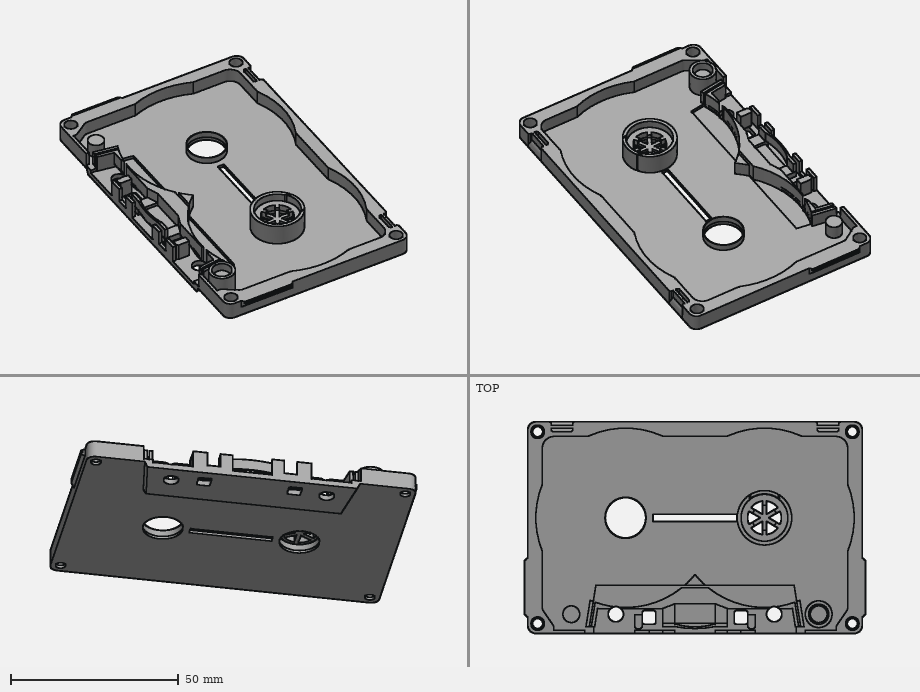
import cadquery as cq
import math


overall_height = 9.5
plate_bottom = 1.8
floor_top = 2.8
block_top = 3.8
rim_top = 4.9
shell_top = 7.3

half_width = 50.0
depth = 63.31
corner_radius = 2.5
screw_x = 47.0
screw_y = (3.0, depth - 3.0)
screw_head_diameter = 4.0
screw_hole_diameter = 3.0

wing_projection = 1.0
wing_y_center = 13.75
wing_base_length = 17.9
wing_base_z = 4.9
wing_bevel_angle = 45
wing_groove_depth = 0.4
wing_groove_z = (6.6, 7.0)

reel_x = 20.75
reel_y = 34.6
reel_clearance_radius = 26.8
cavity_half_width = 45.6
cavity_back = 58.9
cavity_corner_radius = 3.5
front_wall = 1.05
boss_inner_x = 42.15
boss_side_y = 7.2
boss_front_y = 2.2
boss_blend_radius = 2.0

reel_hole_diameter = 12.0
rim_diameter = 12.3
slot_half_length = 12.5
slot_width = 2.1
locating_hole_x = 23.65
locating_hole_y = 5.8
locating_hole_diameter = 4.5
square_hole_x = 13.75
square_hole_y = 4.85
square_hole_size = 4.0
square_hole_radius = 0.6

section_half_width = 31.9
section_depth = 14.45
section_side_angle = 9
section_slope = math.tan(math.radians(section_side_angle))
section_flare = 0.85

opening_half_width = 33.0
side_wall_front = 2.1
side_wall_thickness = 1.0
lip_inner_x = 30.2
outer_wall_x = 32.9
inner_wall_x = 31.3
ridge_front = 7.5
ridge_skin = 0.3
pad_pocket_back = 8.9
pad_pocket_half_width = 6.0
pad_block_outer_x = 9.7
ridge_step_half_width = 4.1
ridge_gap_front = 13.7
post_outer_x = 18.0
post_notch_outer_x = 13.65
column_width = 2.2
column_front = 1.45
column_back = 5.65
column_chamfer = 0.5

notch_x = 39.75
notch_width = 6.5
notch_depth = 1.1
notch_web = 0.9
notch_pocket_depth = 1.0
notch_floor = 5.2
notch_chamfer = 0.45

roller_x = 36.95
roller_y = 5.8
pin_diameter = 5.0
roller_bore = 6.0
roller_diameter = 8.0

hub_diameter = 16.3
hub_rim_bore = 14.0
hub_web_top = 7.0
hub_bore = 10.0
spoke_width = 1.3
spoke_count = 6
tooth_tip_radius = 3.75
spider_top = 5.9
clamp_inner_radius = 7.15
clamp_root_half_width = 4.3
clamp_tip_half_width = 3.8
clamp_side_gap = 0.3

tab_front = 2.1
tab_back = 3.1
bow_front = 1.5
bow_back = 2.0
bow_root_back = 2.9


def block(x0, x1, y0, y1, z0, z1):
    """Box given by its limits on the three axes."""
    return cq.Workplane("XY").box(x1 - x0, y1 - y0, z1 - z0, centered=False).translate((x0, y0, z0))


def cylinder(x, y, diameter, z0, z1):
    """Upright cylinder between two levels."""
    return cq.Workplane("XY").workplane(offset=z0).center(x, y).circle(diameter / 2).extrude(z1 - z0)


def prism(points, z0, z1):
    """Upright prism on a closed polygon."""
    return cq.Workplane("XY").workplane(offset=z0).polyline(points).close().extrude(z1 - z0)


def both_sides(solid):
    """A right-hand solid together with its mirror image on the left."""
    return solid.union(solid.mirror("YZ"))


def section_outline(flare):
    """Trapezoid of the thick front section, grown by `flare` on its three free sides."""
    back = section_depth + flare
    front_x = section_half_width + flare
    back_x = front_x - section_slope * back
    return [(-front_x, 0), (front_x, 0), (back_x, back), (-back_x, back)]


def reel_circles(radius, z0, z1):
    """Two upright cylinders centred on the reels."""
    return both_sides(cylinder(reel_x, reel_y, 2 * radius, z0, z1))


def cavity():
    """Space above the floor: rounded rectangle with stepped front corners, widened by the reels."""
    outline = [
        (boss_inner_x, front_wall),
        (boss_inner_x, boss_front_y),
        (cavity_half_width, boss_side_y),
        (cavity_half_width, cavity_back),
    ]
    outline += [(-x, y) for x, y in reversed(outline)]
    room = prism(outline, floor_top, shell_top)
    room = room.edges("|Z").edges(">Y").fillet(cavity_corner_radius)
    blend = cq.selectors.BoxSelector(
        (-half_width, front_wall + boss_blend_radius / 4, 0),
        (half_width, boss_side_y + boss_blend_radius / 4, overall_height),
    )
    room = room.edges("|Z").edges(blend).fillet(boss_blend_radius)
    return room.union(reel_circles(reel_clearance_radius, floor_top, shell_top))


def wing():
    """Grip wing on the right side, bevelled except at the parting face, with a shallow groove."""
    height = 2 * (shell_top - wing_base_z)
    bevelled = (
        cq.Workplane("YZ", origin=(half_width, wing_y_center, shell_top))
        .rect(wing_base_length, height)
        .extrude(wing_projection, taper=wing_bevel_angle)
    )
    tip_x = half_width + wing_projection
    groove = block(tip_x - wing_groove_depth, tip_x, 0, depth, *wing_groove_z)
    upper_space = block(half_width, tip_x, 0, depth, plate_bottom, shell_top)
    return bevelled.intersect(upper_space).cut(groove)


def thick_section():
    """Flared slab under the front of the main plate."""
    return (
        cq.Workplane("XY")
        .polyline(section_outline(0)).close()
        .workplane(offset=plate_bottom)
        .polyline(section_outline(section_flare)).close()
        .loft(ruled=True)
    )


def slanted_wall(front_x):
    """Right-hand slanted wall, long enough to reach into the reel circles."""
    back = section_depth
    near_x = front_x - section_slope * side_wall_front
    far_x = front_x - section_slope * back
    return prism(
        [
            (near_x - side_wall_thickness, side_wall_front),
            (near_x, side_wall_front),
            (far_x, back),
            (far_x - side_wall_thickness, back),
        ],
        plate_bottom,
        shell_top,
    )


def ridge():
    """Wall between the head openings and the tape packs, with the cusp where the packs meet."""
    end_x = inner_wall_x - section_slope * ridge_front - side_wall_thickness / 2
    front = [
        (pad_pocket_half_width, pad_pocket_back),
        (pad_block_outer_x, ridge_front),
        (end_x, ridge_front),
    ]
    back = [(end_x, reel_y), (-end_x, reel_y)]
    outline = front + back + [(-x, y) for x, y in reversed(front)]
    wall = prism(outline, plate_bottom, shell_top)
    gap = block(
        -ridge_step_half_width, ridge_step_half_width, ridge_gap_front, section_depth,
        plate_bottom, shell_top,
    )
    undercut = block(pad_block_outer_x, end_x, ridge_front, pad_pocket_back, plate_bottom, floor_top)
    bare_skin = block(
        reel_x, locating_hole_x, ridge_front, pad_pocket_back, plate_bottom, shell_top
    )
    undercut = both_sides(undercut.union(bare_skin)).cut(
        reel_circles(reel_clearance_radius + ridge_skin, plate_bottom, shell_top)
    )
    walls = both_sides(slanted_wall(outer_wall_x).union(slanted_wall(inner_wall_x)))
    ridge_body = wall.cut(gap).cut(undercut).union(walls)
    return ridge_body.cut(reel_circles(reel_clearance_radius, plate_bottom, shell_top))


def front_lip():
    """Right-hand lip that keeps the floor level in front of the slanted walls."""
    return block(lip_inner_x, section_half_width, 0, side_wall_front, plate_bottom, floor_top)


def front_posts():
    """Right-hand pair of front posts with the low sill between them, and the column behind."""
    posts = block(pad_pocket_half_width, post_outer_x, 0, front_wall, plate_bottom, shell_top)
    sill_notch = block(pad_block_outer_x, post_notch_outer_x, 0, front_wall, floor_top, shell_top)
    column = block(
        post_outer_x - column_width, post_outer_x, column_front, column_back, plate_bottom, shell_top
    )
    column = column.edges("|Z and <Y").chamfer(column_chamfer)
    return posts.cut(sill_notch).union(column)


def pad_seat():
    """Raised floor behind the pad spring and the two blocks the spring stands on."""
    floor = block(
        -pad_block_outer_x, pad_block_outer_x, tab_back, pad_pocket_back, plate_bottom, floor_top
    )
    side_block = block(
        pad_pocket_half_width, pad_block_outer_x, tab_front, pad_pocket_back, plate_bottom, block_top
    )
    return floor.union(both_sides(side_block))


def write_protect_notch():
    """Right-hand notch in the back edge: floor rounded down to the back, split in two by a web."""
    half = notch_width / 2
    web_back = depth - notch_depth
    web_front = web_back - notch_web
    front = web_front - notch_pocket_depth
    fall = depth - front
    mouth = depth - notch_chamfer
    right_side = [
        (half - notch_chamfer, front),
        (half, front + notch_chamfer),
        (half, mouth),
        (half + notch_chamfer, depth),
    ]
    outline = right_side + [(-x, y) for x, y in reversed(right_side)]
    notch = prism([(notch_x + x, y) for x, y in outline], notch_floor - fall, shell_top)
    rounded_floor = (
        cq.Workplane("YZ")
        .moveTo(front, shell_top)
        .lineTo(front, notch_floor)
        .threePointArc(
            (front + fall * math.sqrt(0.5), notch_floor - fall * (1 - math.sqrt(0.5))),
            (depth, notch_floor - fall),
        )
        .lineTo(depth, shell_top)
        .close().extrude(half_width)
    )
    web = block(notch_x - half, notch_x + half, web_front, web_back, plate_bottom, shell_top)
    return notch.intersect(rounded_floor).cut(web)


def screw_holes():
    """Four stepped corner holes."""
    holes = cq.Workplane("XY")
    for x in (-screw_x, screw_x):
        for y in screw_y:
            holes = holes.union(cylinder(x, y, screw_hole_diameter, 0, shell_top))
            holes = holes.union(cylinder(x, y, screw_head_diameter, floor_top, shell_top))
    return holes


def floor_holes():
    """Reel holes, inspection slot, locating holes and square holes."""
    square = (
        block(-square_hole_size / 2, square_hole_size / 2, -square_hole_size / 2, square_hole_size / 2,
              0, shell_top)
        .edges("|Z").fillet(square_hole_radius)
        .translate((square_hole_x, square_hole_y, 0))
    )
    reel_hole = cylinder(reel_x, reel_y, reel_hole_diameter, 0, shell_top)
    locating_hole = cylinder(
        locating_hole_x, locating_hole_y, locating_hole_diameter, 0, shell_top
    )
    slot = block(
        -slot_half_length, slot_half_length, reel_y - slot_width / 2, reel_y + slot_width / 2,
        0, floor_top,
    )
    return both_sides(square.union(reel_hole).union(locating_hole)).union(slot)


def make_shell():
    shell = block(-half_width, half_width, 0, depth, plate_bottom, shell_top)
    shell = shell.edges("|Z").fillet(corner_radius)
    shell = shell.union(both_sides(wing())).union(thick_section())
    shell = shell.cut(cavity())
    shell = shell.cut(
        block(-opening_half_width, opening_half_width, 0, front_wall, floor_top, shell_top)
    )
    shell = shell.cut(prism(section_outline(0), plate_bottom, shell_top))
    rim = cylinder(reel_x, reel_y, rim_diameter, plate_bottom, rim_top)
    pin = cylinder(roller_x, roller_y, pin_diameter, plate_bottom, shell_top)
    shell = shell.union(ridge()).union(pad_seat())
    shell = shell.union(both_sides(front_posts().union(front_lip()).union(rim).union(pin)))
    return shell.cut(both_sides(write_protect_notch())).cut(screw_holes()).cut(floor_holes())


def clamp_key(side_gap):
    """Dovetail prism around the clamp, narrowing outwards, widened by a gap on each side."""
    root = clamp_root_half_width + side_gap
    tip = clamp_tip_half_width + side_gap
    root_y = reel_y + hub_rim_bore / 2 * math.cos(math.asin(2 * root / hub_rim_bore))
    tip_y = reel_y + hub_diameter / 2
    return prism(
        [(reel_x - root, root_y), (reel_x + root, root_y), (reel_x + tip, tip_y), (reel_x - tip, tip_y)],
        floor_top,
        overall_height,
    )


def hub_rim_ring(inner_radius):
    """Ring as wide as the hub over its full height."""
    outer = cylinder(reel_x, reel_y, hub_diameter, floor_top, overall_height)
    return outer.cut(cylinder(reel_x, reel_y, 2 * inner_radius, floor_top, overall_height))


def make_clamp():
    return hub_rim_ring(clamp_inner_radius).intersect(clamp_key(0))


def make_hub():
    """Hub with an inner web that stands on the rim, and a splined drive opening."""
    web = cylinder(reel_x, reel_y, hub_rim_bore, floor_top, hub_web_top)
    web = web.cut(cylinder(reel_x, reel_y, rim_diameter, floor_top, rim_top))
    web = web.cut(cylinder(reel_x, reel_y, hub_bore, floor_top, overall_height))
    hub = hub_rim_ring(hub_rim_bore / 2).cut(clamp_key(clamp_side_gap)).union(web)
    arm_length = (hub_bore + rim_diameter) / 4
    teeth_core = cylinder(reel_x, reel_y, 2 * tooth_tip_radius, rim_top, hub_web_top)
    spider_level = cylinder(reel_x, reel_y, hub_rim_bore, rim_top, spider_top)
    for i in range(spoke_count):
        arm = block(0, arm_length, -spoke_width / 2, spoke_width / 2, rim_top, hub_web_top)
        arm = arm.rotate((0, 0, 0), (0, 0, 1), 90 + i * 360 / spoke_count)
        arm = arm.translate((reel_x, reel_y, 0))
        hub = hub.union(arm.cut(teeth_core)).union(arm.intersect(spider_level))
    return hub


def make_roller():
    roller = cylinder(roller_x, roller_y, roller_diameter, floor_top, overall_height)
    return roller.cut(cylinder(roller_x, roller_y, roller_bore, floor_top, overall_height))


def make_pad_spring():
    """Spring strip bowed towards the front between two end tabs."""
    tabs = both_sides(
        block(pad_pocket_half_width, pad_block_outer_x, tab_front, tab_back, block_top, shell_top)
    )
    bow = (
        cq.Workplane("XY").workplane(offset=block_top)
        .moveTo(-pad_pocket_half_width, tab_front)
        .threePointArc((0, bow_front), (pad_pocket_half_width, tab_front))
        .lineTo(pad_pocket_half_width, bow_root_back)
        .threePointArc((0, bow_back), (-pad_pocket_half_width, bow_root_back))
        .close()
        .extrude(shell_top - block_top)
    )
    return tabs.union(bow)


shell = make_shell()
hub = make_hub()
clamp = make_clamp()
roller = make_roller()
pad_spring = make_pad_spring()

bodies = [shell, hub, clamp, roller, pad_spring]
result = cq.Compound.makeCompound([body.solids().val() for body in bodies])